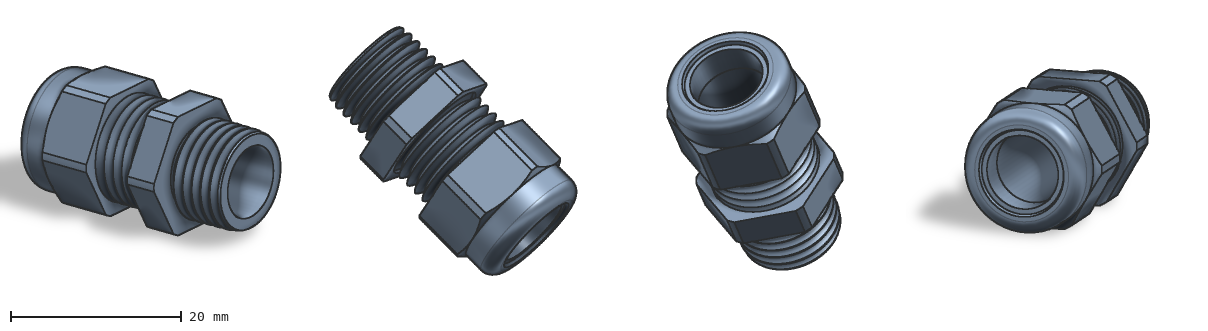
import cadquery as cq
import math


TOTAL_LENGTH = 28.95
ACROSS_FLATS = 15.0
ACROSS_CORNERS = 16.77
HEX_RADIUS = ACROSS_FLATS / 2
CORNER_RADIUS = ACROSS_CORNERS / 2
BORE_RADIUS = 4.43

DOME_ROUND = 1.68
DOME_LENGTH = 4.15
NUT_END = 11.12
CORNER_CHAMFER_ANGLE = 30
MOUTH_RADIUS = 5.27
MOUTH_FLOOR_RADIUS = 5.07
MOUTH_DEPTH = 0.43
SOCKET_START = 4.03

COLLAR_START = 17.17
COLLAR_END = 21.1

ENTRY_RIDGES = 6
ENTRY_RIDGES_LENGTH = 7.8
PITCH = ENTRY_RIDGES_LENGTH / ENTRY_RIDGES
FLANK_SLOPE = math.tan(math.radians(60))
RIDGE_HEIGHT = PITCH / 2 * FLANK_SLOPE

NUT_THREAD_ROOT_RADIUS = 5.5
NUT_THREAD_CREST_RADIUS = NUT_THREAD_ROOT_RADIUS + RIDGE_HEIGHT
NUT_THREAD_GROOVES = 5
NUT_THREAD_END = NUT_END + NUT_THREAD_GROOVES * PITCH

ENTRY_ROOT_RADIUS = 5.15
ENTRY_FIRST_ROOT = 21.7
RUNOUT_HEIGHT = 0.16
TAPER_START_RADIUS = 6.23
TAPER_END_RADIUS = 6.1
END_CHAMFER_LENGTH = 0.58
END_RADIUS = 5.82


def revolve_about_x(profile):
    """Close an (x, radius) profile and turn it about the X axis."""
    return profile.close().revolve(360, (0, 0, 0), (1, 0, 0))


def cylinder(start, end, radius):
    return cq.Workplane("YZ").workplane(offset=start).circle(radius).extrude(end - start)


def hexagon(start, end):
    """Hexagonal prism with turned corners, flats facing +Z and -Z."""
    point_to_point = ACROSS_FLATS / math.cos(math.radians(30))
    prism = cq.Workplane("YZ").workplane(offset=start).polygon(6, point_to_point).extrude(end - start)
    return prism.intersect(cylinder(start, end, CORNER_RADIUS))


def make_nut():
    dome = cylinder(0, DOME_LENGTH, HEX_RADIUS).faces("<X").edges().fillet(DOME_ROUND)

    chamfer_length = (CORNER_RADIUS - HEX_RADIUS) * math.tan(math.radians(CORNER_CHAMFER_ANGLE))
    chamfer_envelope = revolve_about_x(
        cq.Workplane("XY")
        .moveTo(DOME_LENGTH, 0)
        .lineTo(DOME_LENGTH, HEX_RADIUS)
        .lineTo(DOME_LENGTH + chamfer_length, CORNER_RADIUS)
        .lineTo(NUT_END, CORNER_RADIUS)
        .lineTo(NUT_END, 0)
    )
    outside = dome.union(hexagon(DOME_LENGTH, NUT_END).intersect(chamfer_envelope))

    inside = revolve_about_x(
        cq.Workplane("XY")
        .moveTo(0, 0)
        .lineTo(0, MOUTH_RADIUS)
        .lineTo(MOUTH_DEPTH, MOUTH_FLOOR_RADIUS)
        .lineTo(MOUTH_DEPTH, BORE_RADIUS)
        .lineTo(SOCKET_START, BORE_RADIUS)
        .lineTo(SOCKET_START, NUT_THREAD_CREST_RADIUS)
        .lineTo(NUT_END, NUT_THREAD_CREST_RADIUS)
        .lineTo(NUT_END, 0)
    )
    return outside.cut(inside)


def make_nut_side():
    """Plain spigot filling the nut's socket, then the thread, ending inside the collar."""
    profile = (
        cq.Workplane("XY")
        .moveTo(SOCKET_START, 0)
        .lineTo(SOCKET_START, NUT_THREAD_CREST_RADIUS)
        .lineTo(NUT_END, NUT_THREAD_CREST_RADIUS)
    )
    for groove in range(NUT_THREAD_GROOVES):
        groove_start = NUT_END + groove * PITCH
        profile = profile.lineTo(groove_start + PITCH / 2, NUT_THREAD_ROOT_RADIUS)
        profile = profile.lineTo(groove_start + PITCH, NUT_THREAD_CREST_RADIUS)
    return revolve_about_x(profile.lineTo(NUT_THREAD_END, 0))


def make_collar():
    """Hexagon opened at crest radius so that the last thread groove can run into it."""
    groove_runout = cylinder(COLLAR_START, NUT_THREAD_END, NUT_THREAD_CREST_RADIUS)
    return hexagon(COLLAR_START, COLLAR_END).cut(groove_runout)


def make_entry_side():
    """Neck, rounded run-out and entry thread, trimmed by a slight taper and an end chamfer."""
    runout_end = ENTRY_FIRST_ROOT - RUNOUT_HEIGHT / FLANK_SLOPE
    runout_length = runout_end - COLLAR_END
    runout_round = (runout_length**2 + RUNOUT_HEIGHT**2) / (2 * RUNOUT_HEIGHT)
    half_sweep = math.asin(runout_length / runout_round) / 2
    runout_middle = (
        COLLAR_END + runout_round * math.sin(half_sweep),
        ENTRY_ROOT_RADIUS + runout_round * (1 - math.cos(half_sweep)),
    )
    profile = (
        cq.Workplane("XY")
        .moveTo(COLLAR_END, 0)
        .lineTo(COLLAR_END, ENTRY_ROOT_RADIUS)
        .threePointArc(runout_middle, (runout_end, ENTRY_ROOT_RADIUS + RUNOUT_HEIGHT))
        .lineTo(ENTRY_FIRST_ROOT, ENTRY_ROOT_RADIUS)
    )
    for ridge in range(ENTRY_RIDGES):
        ridge_start = ENTRY_FIRST_ROOT + ridge * PITCH
        profile = profile.lineTo(ridge_start + PITCH / 2, ENTRY_ROOT_RADIUS + RIDGE_HEIGHT)
        profile = profile.lineTo(ridge_start + PITCH, ENTRY_ROOT_RADIUS)
    thread_end = ENTRY_FIRST_ROOT + ENTRY_RIDGES_LENGTH
    sharp_thread = revolve_about_x(profile.lineTo(thread_end, 0))

    envelope = revolve_about_x(
        cq.Workplane("XY")
        .moveTo(COLLAR_END, 0)
        .lineTo(COLLAR_END, TAPER_START_RADIUS)
        .lineTo(TOTAL_LENGTH - END_CHAMFER_LENGTH, TAPER_END_RADIUS)
        .lineTo(TOTAL_LENGTH, END_RADIUS)
        .lineTo(TOTAL_LENGTH, 0)
    )
    return sharp_thread.intersect(envelope)


def make_gland_body():
    outside = make_nut_side().union(make_collar()).union(make_entry_side())
    return outside.cut(cylinder(SOCKET_START, TOTAL_LENGTH, BORE_RADIUS))


nut = make_nut()
gland_body = make_gland_body()

result = cq.Compound.makeCompound([nut.solids().val(), gland_body.solids().val()])